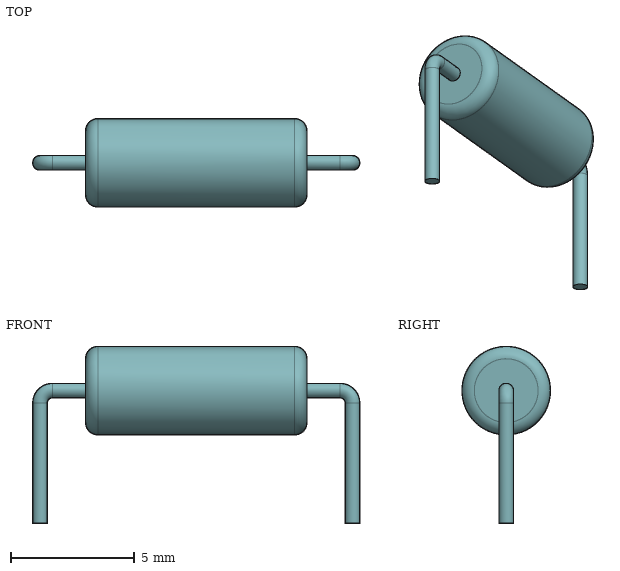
import cadquery as cq

overall_length = 13.3
housing_length = 9.0
housing_diameter = 3.6
housing_edge_radius = 0.5
lead_diameter = 0.6
lead_bend_radius = 0.5
overall_height = 7.2

housing_end_x = housing_length / 2
lead_leg_x = (overall_length - lead_diameter) / 2
lead_tip_z = housing_diameter / 2 - overall_height


def make_housing():
    """Cylinder along X with both end edges rounded."""
    return (
        cq.Workplane("YZ", origin=(-housing_end_x, 0, 0))
        .circle(housing_diameter / 2)
        .extrude(housing_length)
        .edges("%CIRCLE")
        .fillet(housing_edge_radius)
    )


def make_lead(side):
    """Round wire leaving a housing end face and bending down; side is -1 or +1 along X."""
    bend_start_x = lead_leg_x - lead_bend_radius
    centreline = (
        cq.Workplane("XZ")
        .moveTo(side * housing_end_x, 0)
        .lineTo(side * bend_start_x, 0)
        .tangentArcPoint((side * lead_leg_x, -lead_bend_radius), relative=False)
        .lineTo(side * lead_leg_x, lead_tip_z)
    )
    return (
        cq.Workplane("YZ", origin=(side * housing_end_x, 0, 0))
        .circle(lead_diameter / 2)
        .sweep(centreline)
    )


housing = make_housing()
leads = [make_lead(side) for side in (-1, 1)]

result = cq.Compound.makeCompound([housing.val(), *[lead.val() for lead in leads]])